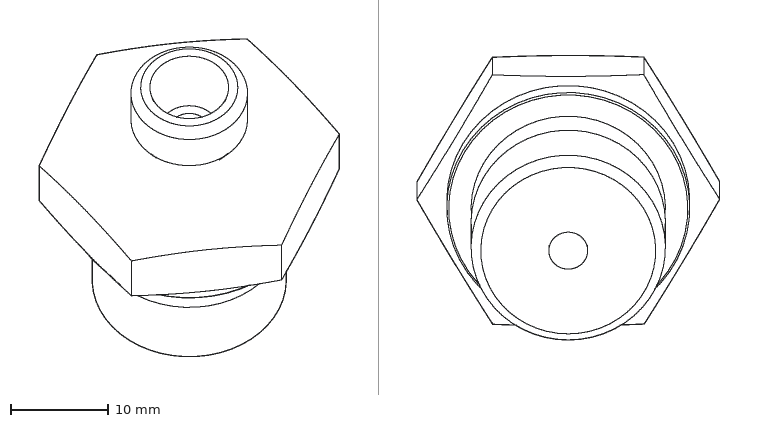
import cadquery as cq
import math

stud_length = 14.0
collar_height = 2.5
hex_height = 7.0
nipple_length = 10.0
collar_bottom = stud_length
hex_bottom = collar_bottom + collar_height
hex_top = hex_bottom + hex_height
nipple_top = hex_top + nipple_length

stud_radius = 20.0 / 2
stud_chamfer = 1.0
undercut_width = 4.65
undercut_angle = math.radians(30)
undercut_fillet = 1.2

collar_radius = 25.0 / 2
collar_chamfer = 0.2

hex_across_flats = 27.0
hex_chamfer_angle = math.radians(15)

nipple_radius = 12.0 / 2
nipple_chamfer = 1.0
neck_radius = 9.7 / 2
neck_length = 2.6
neck_fillet = 1.0
neck_cone_angle = math.radians(30)

bore_radius = 4.0 / 2
seat_radius = 6.0 / 2
seat_mouth_radius = 8.1 / 2
seat_cone_angle = math.radians(12)
seat_depth = 7.0


def revolve_profile(points):
    """Revolve a closed (radius, z) outline around the Z axis."""
    return cq.Workplane("XZ").polyline(points).close().revolve(360, (0, 0, 0), (0, 1, 0))


def fillet_circle(body, z, radius):
    """Round the circular edge of the body at height z."""
    margin = 0.01
    reach = 2 * collar_radius
    box = cq.selectors.BoxSelector((-reach, -reach, z - margin), (reach, reach, z + margin))
    return body.edges(box).fillet(radius)


def make_stud():
    undercut_bottom = stud_length - undercut_width
    undercut_middle = stud_length - undercut_width / 2
    root_radius = stud_radius - undercut_width / 2 * math.tan(undercut_angle)
    stud = revolve_profile([
        (0, 0),
        (stud_radius - stud_chamfer, 0),
        (stud_radius, stud_chamfer),
        (stud_radius, undercut_bottom),
        (root_radius, undercut_middle),
        (stud_radius, stud_length),
        (0, stud_length),
    ])
    return fillet_circle(stud, undercut_middle, undercut_fillet)


def make_collar():
    collar = cq.Workplane("XY", origin=(0, 0, collar_bottom)).circle(collar_radius).extrude(collar_height)
    return collar.faces("<Z").edges().chamfer(collar_chamfer)


def make_hexagon():
    """Hexagon with flats on +X and -X, its corners turned off conically at both ends."""
    corner_radius = hex_across_flats / 2 / math.cos(math.pi / 6)
    hexagon = (
        cq.Workplane("XY", origin=(0, 0, hex_bottom))
        .transformed(rotate=(0, 0, 30))
        .polygon(6, 2 * corner_radius)
        .extrude(hex_height)
    )
    flat_radius = hex_across_flats / 2
    cone_drop = (corner_radius - flat_radius) * math.tan(hex_chamfer_angle)
    turned_envelope = revolve_profile([
        (0, hex_bottom),
        (flat_radius, hex_bottom),
        (corner_radius, hex_bottom + cone_drop),
        (corner_radius, hex_top - cone_drop),
        (flat_radius, hex_top),
        (0, hex_top),
    ])
    return hexagon.intersect(turned_envelope)


def make_nipple():
    neck_top = hex_top + neck_length
    cone_top = neck_top + (nipple_radius - neck_radius) / math.tan(neck_cone_angle)
    nipple = revolve_profile([
        (0, hex_top),
        (neck_radius, hex_top),
        (neck_radius, neck_top),
        (nipple_radius, cone_top),
        (nipple_radius, nipple_top - nipple_chamfer),
        (nipple_radius - nipple_chamfer, nipple_top),
        (0, nipple_top),
    ])
    return fillet_circle(nipple, neck_top, neck_fillet)


def make_neck_root():
    """Concave ring that blends the neck into the top of the hexagon."""
    arc_offset = neck_fillet * (1 - math.sqrt(0.5))
    return (
        cq.Workplane("XZ")
        .moveTo(0, hex_top)
        .lineTo(neck_radius + neck_fillet, hex_top)
        .threePointArc(
            (neck_radius + arc_offset, hex_top + arc_offset),
            (neck_radius, hex_top + neck_fillet),
        )
        .lineTo(0, hex_top + neck_fillet)
        .close()
        .revolve(360, (0, 0, 0), (0, 1, 0))
    )


def make_bore():
    """Through bore opening into a cylindrical tube seat with a conical mouth."""
    cone_depth = (seat_mouth_radius - seat_radius) / math.tan(seat_cone_angle)
    return revolve_profile([
        (0, 0),
        (bore_radius, 0),
        (bore_radius, nipple_top - seat_depth),
        (seat_radius, nipple_top - seat_depth),
        (seat_radius, nipple_top - cone_depth),
        (seat_mouth_radius, nipple_top),
        (0, nipple_top),
    ])


body = make_stud().union(make_collar()).union(make_hexagon())
body = body.union(make_nipple()).union(make_neck_root())
result = body.cut(make_bore())